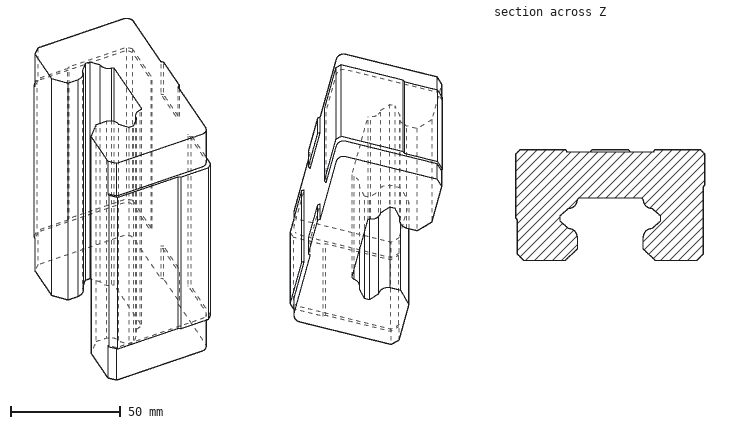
import cadquery as cq


total_length = 139.4
block_length = 97.4
cap_length = (total_length - block_length) / 2

height = 50.5
block_half_width = 43.0
side_step = 0.7
side_step_rise = 1.0
left_step_y = 19.5
right_step_y = 34.5
block_top_chamfer = 2.0
bottom_chamfer = 3.0
groove_half_width = 20.3
groove_depth = 1.0
pad_edge_slope = 0.7
flank_half_width = block_half_width - side_step

cap_half_width = 41.25
cap_top = height - groove_depth
cap_top_radius = 3.5
centre_pad_half_width = 8.25
centre_pad_slope = 0.8

ceiling_y = 28.5
ceiling_half_width = 14.4
lip_half_width = 14.8
raceway_y = 19.2
raceway_half_width = 22.8
raceway_floor_half_height = 1.2
shoulder_half_width = 19.0
shoulder_offset = 4.5
arc_middle_half_width = 16.1
arc_middle_offset = 5.75
arc_end_half_width = 15.0
arc_end_offset = 8.2
lip_top_y = 10.5
lip_chamfer_height = 5.4
mouth_half_width = 20.6


def block_body():
    """Steel block with two mounting pads and a step on each flank."""
    groove_floor = height - groove_depth
    groove_floor_half_width = groove_half_width - pad_edge_slope
    points = [
        (-flank_half_width + bottom_chamfer, 0),
        (flank_half_width - bottom_chamfer, 0),
        (flank_half_width, bottom_chamfer),
        (flank_half_width, right_step_y - side_step_rise),
        (block_half_width, right_step_y),
        (block_half_width, height - block_top_chamfer),
        (block_half_width - block_top_chamfer, height),
        (groove_half_width, height),
        (groove_floor_half_width, groove_floor),
        (-groove_floor_half_width, groove_floor),
        (-groove_half_width, height),
        (-block_half_width + block_top_chamfer, height),
        (-block_half_width, height - block_top_chamfer),
        (-block_half_width, left_step_y),
        (-flank_half_width, left_step_y - side_step_rise),
        (-flank_half_width, bottom_chamfer),
    ]
    return cq.Workplane("XY").workplane(offset=cap_length).polyline(points).close().extrude(block_length)


def end_cap(base_z):
    """End cap with rounded upper corners, chamfered feet and a raised centre pad."""
    plane = cq.Workplane("XY").workplane(offset=base_z)
    body = (
        plane.center(0, cap_top / 2)
        .rect(2 * cap_half_width, cap_top)
        .extrude(cap_length)
        .edges("|Z and >Y")
        .fillet(cap_top_radius)
        .edges("|Z and <Y")
        .chamfer(bottom_chamfer)
    )
    pad_foot_half_width = centre_pad_half_width + centre_pad_slope
    pad_points = [
        (-pad_foot_half_width, cap_top),
        (pad_foot_half_width, cap_top),
        (centre_pad_half_width, height),
        (-centre_pad_half_width, height),
    ]
    pad = plane.polyline(pad_points).close().extrude(cap_length)
    return body.union(pad)


def rail_opening():
    """Rail passage: flared mouth, straight lips and a raceway groove on each side."""
    right_half = (
        cq.Workplane("XY")
        .moveTo(0, 0)
        .lineTo(mouth_half_width, 0)
        .lineTo(lip_half_width, lip_chamfer_height)
        .lineTo(lip_half_width, lip_top_y)
        .lineTo(arc_end_half_width, raceway_y - arc_end_offset)
        .threePointArc(
            (arc_middle_half_width, raceway_y - arc_middle_offset),
            (shoulder_half_width, raceway_y - shoulder_offset),
        )
        .lineTo(raceway_half_width, raceway_y - raceway_floor_half_height)
        .lineTo(raceway_half_width, raceway_y + raceway_floor_half_height)
        .lineTo(shoulder_half_width, raceway_y + shoulder_offset)
        .threePointArc(
            (arc_middle_half_width, raceway_y + arc_middle_offset),
            (arc_end_half_width, raceway_y + arc_end_offset),
        )
        .lineTo(ceiling_half_width, ceiling_y)
        .lineTo(0, ceiling_y)
        .close()
        .extrude(total_length)
    )
    return right_half.union(right_half.mirror("YZ"))


result = (
    block_body()
    .union(end_cap(0))
    .union(end_cap(total_length - cap_length))
    .cut(rail_opening())
)